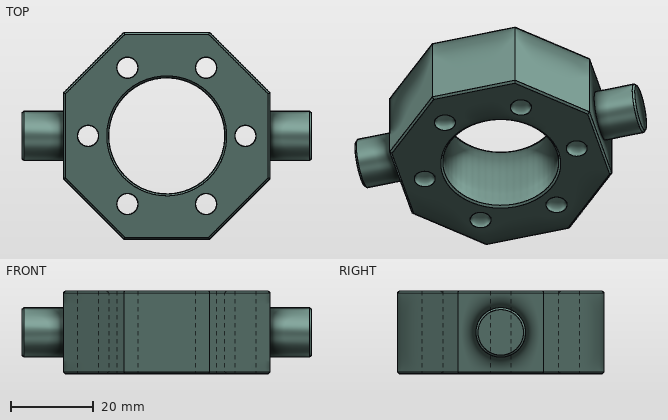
import cadquery as cq
import math

overall_length = 70.0
across_flats = 50.0
thickness = 20.0
edge_chamfer = 0.5

bore_diameter = 28.0
pin_diameter = 12.0

bolt_hole_diameter = 5.05
bolt_circle_diameter = 38.0
bolt_count = 6

side_count = 8
across_corners = across_flats / math.cos(math.pi / side_count)
pin_length = (overall_length - across_flats) / 2


def make_ring():
    """Octagonal block centred on the origin, bored through, with chamfered rims."""
    block = (
        cq.Workplane("XY")
        .polygon(side_count, across_corners)
        .extrude(thickness / 2, both=True)
        .rotate((0, 0, 0), (0, 0, 1), 180 / side_count)
    )
    bored = block.faces(">Z").workplane(origin=(0, 0, 0)).hole(bore_diameter)
    return bored.faces("|Z").edges().chamfer(edge_chamfer)


def make_pin(side):
    """Pin standing on the flat at +X (side = 1) or -X (side = -1)."""
    return (
        cq.Workplane("YZ", origin=(side * across_flats / 2, 0, 0))
        .circle(pin_diameter / 2)
        .extrude(side * pin_length)
        .faces(">X" if side > 0 else "<X")
        .edges()
        .chamfer(edge_chamfer)
    )


def drill_bolt_holes(body):
    """Plain through holes on a circle around the bore, the first one on +X."""
    return (
        body.faces(">Z")
        .workplane(origin=(0, 0, 0))
        .polarArray(bolt_circle_diameter / 2, 0, 360, bolt_count)
        .hole(bolt_hole_diameter)
    )


result = make_ring()
for side in (-1, 1):
    result = result.union(make_pin(side))
result = drill_bolt_holes(result)